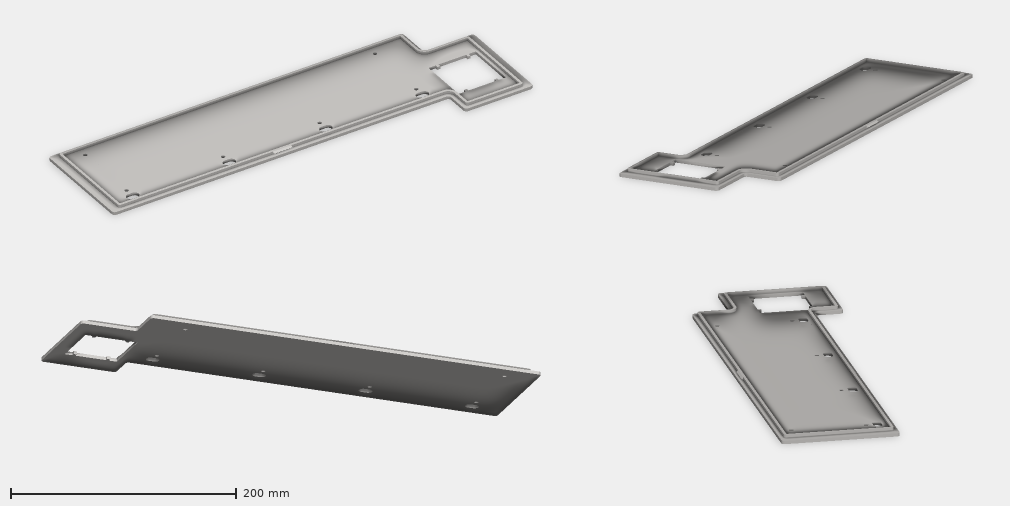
import cadquery as cq

length = 425.5
width = 134.0
height = 6.0
plate_thickness = 3.0
body_width = 107.5
head_left = 35.0
head_left_depth = 52.8
head_right_depth = 72.0
corner_radius = 3.0

rim_side_gap = 4.0
rim_end_gap = 8.0
rim_thickness = 2.5
rim_corner_radius = 2.5

window_size = 50.0
window_left = 60.0
window_top = length - 13.5
tab_length = 3.0
tab_width = 3.0
tab_offsets = (9.0, 41.0)

hole_diameter = 3.95
left_hole_x = 15.0
right_hole_x = 83.0
slot_x = 93.0
slot_width = 8.0
slot_length = 12.8
row_pitch = 101.5
row_count = 4
first_row_y = 29.5
row_ys = [first_row_y + row_pitch * i for i in range(row_count)]

snap_length = 19.5
snap_reach = 1.5
left_snap_y = 188.5
right_snap_y = 180.0


def round_corners(prism, corners, radius):
    """Fillet the upright edges that stand at the given XY corners."""
    middle = prism.val().Center().z
    for x, y in corners:
        at_corner = cq.selectors.NearestToPointSelector((x, y, middle))
        prism = prism.edges("|Z").edges(at_corner).fillet(radius)
    return prism


def l_prism(side_gap, end_gap, bottom, top, convex_radius, concave_radius):
    """L-shaped prism set in from the plate outline, with rounded upright edges."""
    left = side_gap
    right = body_width - side_gap
    head_start = head_left + side_gap
    head_end = width - side_gap
    near = end_gap
    far = length - end_gap
    left_step = length - head_left_depth - side_gap
    right_step = length - head_right_depth + side_gap
    prism = (
        cq.Workplane("XY", origin=(0, 0, bottom))
        .moveTo(left, near)
        .lineTo(right, near)
        .lineTo(right, right_step)
        .lineTo(head_end, right_step)
        .lineTo(head_end, far)
        .lineTo(head_start, far)
        .lineTo(head_start, left_step)
        .lineTo(left, left_step)
        .close()
        .extrude(top - bottom)
    )
    concave_corners = [(right, right_step), (head_start, left_step)]
    prism = round_corners(prism, concave_corners, concave_radius)
    if convex_radius > 0:
        convex_corners = [
            (left, near), (right, near), (head_end, right_step),
            (head_end, far), (head_start, far), (left, left_step),
        ]
        prism = round_corners(prism, convex_corners, convex_radius)
    return prism


def make_rim():
    """Thin wall standing on the plate; its inner convex corners are sharp."""
    inner_side_gap = rim_side_gap + rim_thickness
    inner_end_gap = rim_end_gap + rim_thickness
    outside = l_prism(
        rim_side_gap, rim_end_gap, 0, height, rim_corner_radius, corner_radius + rim_side_gap
    )
    inside = l_prism(
        inner_side_gap, inner_end_gap, plate_thickness, height, 0, corner_radius + inner_side_gap
    )
    return outside.cut(inside)


def make_snap(rim_face_x, center_y, direction):
    """Triangular ridge along Y that points away from the rim."""
    return (
        cq.Workplane("XZ", origin=(rim_face_x, center_y + snap_length / 2, 0))
        .moveTo(0, plate_thickness)
        .lineTo(direction * snap_reach, (plate_thickness + height) / 2)
        .lineTo(0, height)
        .close()
        .extrude(snap_length)
    )


def make_window():
    window = cq.Workplane("XY").rect(window_size, window_size).extrude(height)
    window = window.translate(
        (window_left + window_size / 2, window_top - window_size / 2, 0)
    )
    for offset in tab_offsets:
        for x in (window_left, window_left + window_size):
            tab = cq.Workplane("XY").rect(2 * tab_length, tab_width).extrude(height)
            window = window.cut(tab.translate((x, window_top - offset, 0)))
    return window


def make_holes():
    hole_points = [(right_hole_x, y) for y in row_ys]
    hole_points += [(left_hole_x, row_ys[0]), (left_hole_x, row_ys[-1])]
    slot_points = [(slot_x, y) for y in row_ys]
    holes = cq.Workplane("XY").pushPoints(hole_points).circle(hole_diameter / 2).extrude(height)
    slots = (
        cq.Workplane("XY")
        .pushPoints(slot_points)
        .slot2D(slot_length, slot_width, angle=90)
        .extrude(height)
    )
    return holes.union(slots)


plate = l_prism(0, 0, 0, plate_thickness, corner_radius, corner_radius)
result = (
    plate.union(make_rim())
    .union(make_snap(rim_side_gap, left_snap_y, -1))
    .union(make_snap(body_width - rim_side_gap, right_snap_y, 1))
    .cut(make_window())
    .cut(make_holes())
)